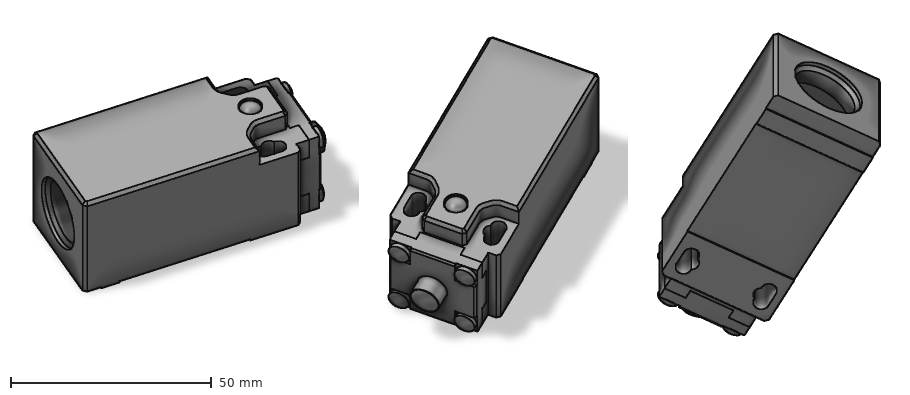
import cadquery as cq
import math


WIDTH = 30.3
TOP = 30.0
PAD_HEIGHT = 0.4
LUG_END = 60.0
LEDGE = 24.5
SHOULDER_END = 48.45
EDGE_CHAMFER = 0.9

TONGUE_WIDTH = 12.2
TONGUE_END = 60.8
BLEND_CHAMFER = 3.0
BLEND_RADIUS = 3.0

FRONT_PAD = (4.8, 9.8)
REAR_PAD_START = 45.9
SLOT_DIAMETER = 4.0
SLOT_LENGTH = 8.0
SLOT_X = 11.0
SLOT_Y = 53.6
SLOT_BULGE = 1.0

ENTRY_Z = 14.65
ENTRY_DIAMETER = 19.0
ENTRY_BORE_DIAMETER = 17.0
ENTRY_LIP_DEPTH = 1.0
ENTRY_DEPTH = 6.0

BUTTON_Y = 53.1
BUTTON_WELL_DIAMETER = 6.0
BUTTON_DIAMETER = 5.6
BUTTON_TOP = 30.6
BUTTON_WELL_FLOOR = 29.3
BUTTON_ROOT = 0.7

HEAD_SIZE = LEDGE - PAD_HEIGHT
HEAD_Z = PAD_HEIGHT + HEAD_SIZE / 2
JOINT_CORNER_Y = 63.55
JOINT_CROSS_Y = 61.1
CROSS_WIDTH = TONGUE_WIDTH

COVER_SIDE_END = 66.0
SCREW_SEAT_Y = 66.4
COVER_STEP_Y = 66.6
COVER_END = 67.15
COVER_EDGE_INSET = 0.15
COVER_END_INSET = 0.65

SCREW_DIAMETER = 5.6
SCREW_SPACING = 18.0
SCREW_RIM_Y = 67.65
SCREW_TIP_Y = 68.7

PLUNGER_DIAMETER = 8.0
PLUNGER_HOLE_DIAMETER = 8.1
PLUNGER_RIM_Y = 71.75
PLUNGER_TIP_Y = 73.3
PLUNGER_SHOULDER = 0.2


def block(x_size, y_range, z_range):
    """Box centred on X = 0 that spans the given Y and Z ranges."""
    y_size = y_range[1] - y_range[0]
    z_size = z_range[1] - z_range[0]
    return (
        cq.Workplane("XY")
        .box(x_size, y_size, z_size, centered=(True, False, False))
        .translate((0, y_range[0], z_range[0]))
    )


def head_block(x_size, z_size, y_start, y_end):
    """Box centred on the head axis between two Y positions."""
    return block(x_size, (y_start, y_end), (HEAD_Z - z_size / 2, HEAD_Z + z_size / 2))


def head_cross(y_start, y_end):
    """Cross-shaped block that reaches all four sides of the head."""
    upright = head_block(CROSS_WIDTH, HEAD_SIZE, y_start, y_end)
    crossbar = head_block(HEAD_SIZE, CROSS_WIDTH, y_start, y_end)
    return upright.union(crossbar)


def domed_pin(radius, y_start, y_rim, y_tip, x=0, z=0, shoulder=0.0):
    """Round pin along +Y with a spherical cap, set in from the rim by a flat shoulder."""
    cap_radius = radius - shoulder
    rise = y_tip - y_rim
    sphere_radius = (cap_radius**2 + rise**2) / (2 * rise)
    half_angle = math.asin(cap_radius / sphere_radius) / 2
    cap_middle = (
        sphere_radius * math.sin(half_angle),
        y_tip - sphere_radius * (1 - math.cos(half_angle)),
    )
    profile = cq.Workplane("XY").moveTo(0, y_start).lineTo(radius, y_start).lineTo(radius, y_rim)
    if shoulder > 0:
        profile = profile.lineTo(cap_radius, y_rim)
    pin = profile.threePointArc(cap_middle, (0, y_tip)).close().revolve(360, (0, 0, 0), (0, 1, 0))
    return pin.translate((x, 0, z))


def housing_upper():
    """Main block and tongue above the ledge level, with all outer top edges chamfered."""
    half_tongue = TONGUE_WIDTH / 2
    shoulder = block(WIDTH, (0, SHOULDER_END), (LEDGE, TOP))
    tongue = (
        cq.Workplane("XY", origin=(0, 0, LEDGE))
        .moveTo(half_tongue + BLEND_CHAMFER, SHOULDER_END)
        .lineTo(half_tongue, SHOULDER_END + BLEND_CHAMFER)
        .lineTo(half_tongue, TONGUE_END)
        .lineTo(0, TONGUE_END)
        .lineTo(0, SHOULDER_END)
        .close()
        .extrude(TOP - LEDGE)
    )
    upper = shoulder.union(tongue).union(tongue.mirror("YZ"))
    blend_box = cq.selectors.BoxSelector(
        (-WIDTH / 2 + EDGE_CHAMFER, SHOULDER_END - EDGE_CHAMFER, 0),
        (WIDTH / 2 - EDGE_CHAMFER, SHOULDER_END + BLEND_CHAMFER + EDGE_CHAMFER, TOP),
    )
    upper = upper.edges("|Z").edges(blend_box).fillet(BLEND_RADIUS)
    upper = upper.edges("|Z").edges("<Y or >Y").chamfer(EDGE_CHAMFER)
    return upper.faces(">Z").edges().chamfer(EDGE_CHAMFER)


def housing_lower():
    """Main block and lugs below the ledge level, with the two mounting pads."""
    lower = block(WIDTH, (0, LUG_END), (0, LEDGE)).edges("|Z").chamfer(EDGE_CHAMFER)
    for pad_gap in ((0, FRONT_PAD[0]), (FRONT_PAD[1], REAR_PAD_START)):
        lower = lower.cut(block(WIDTH, pad_gap, (0, PAD_HEIGHT)))
    return lower


def mounting_slot(side):
    """Slot along Y with a round bulge toward the middle of the housing."""
    slot = (
        cq.Workplane("XY")
        .center(side * SLOT_X, SLOT_Y)
        .slot2D(SLOT_LENGTH, SLOT_DIAMETER, 90)
        .extrude(LEDGE)
    )
    bulge = (
        cq.Workplane("XY")
        .center(side * (SLOT_X - SLOT_BULGE), SLOT_Y)
        .circle(SLOT_DIAMETER / 2)
        .extrude(LEDGE)
    )
    return slot.union(bulge)


def cable_entry():
    """Blind bore with a short wider lip and a 45 degree step between them."""
    lip_radius = ENTRY_DIAMETER / 2
    bore_radius = ENTRY_BORE_DIAMETER / 2
    return (
        cq.Workplane("XY")
        .lineTo(lip_radius, 0)
        .lineTo(lip_radius, ENTRY_LIP_DEPTH)
        .lineTo(bore_radius, ENTRY_LIP_DEPTH + lip_radius - bore_radius)
        .lineTo(bore_radius, ENTRY_DEPTH)
        .lineTo(0, ENTRY_DEPTH)
        .close()
        .revolve(360, (0, 0, 0), (0, 1, 0))
        .translate((0, 0, ENTRY_Z))
    )


def button_well():
    """Shallow round well that surrounds the button."""
    return (
        cq.Workplane("XY", origin=(0, BUTTON_Y, BUTTON_WELL_FLOOR))
        .circle(BUTTON_WELL_DIAMETER / 2)
        .extrude(BUTTON_TOP - BUTTON_WELL_FLOOR)
    )


def button():
    """Spherical cap on the floor of the well, rising above the top face."""
    start = BUTTON_WELL_FLOOR - BUTTON_ROOT
    pin = domed_pin(BUTTON_DIAMETER / 2, start, BUTTON_WELL_FLOOR, BUTTON_TOP)
    return pin.rotate((0, 0, 0), (1, 0, 0), 90).translate((0, BUTTON_Y, 0))


def cover_bevel(start_inset, end_inset, y_start, y_end):
    """Square slice of the cover whose four sides slope inward toward +Y."""
    rise = y_end - y_start
    start_size = HEAD_SIZE - 2 * start_inset
    slope = math.degrees(math.atan((end_inset - start_inset) / rise))
    return (
        cq.Workplane("XZ", origin=(0, y_start, HEAD_Z))
        .rect(start_size, start_size)
        .extrude(-rise, taper=slope)
    )


def screw_seats():
    """The four corner areas outside the cross, down to the screw seats."""
    whole_end = head_block(HEAD_SIZE, HEAD_SIZE, SCREW_SEAT_Y, COVER_END)
    return whole_end.cut(head_cross(SCREW_SEAT_Y, COVER_END))


def screw_head(x, z):
    return domed_pin(SCREW_DIAMETER / 2, SCREW_SEAT_Y, SCREW_RIM_Y, SCREW_TIP_Y, x, z)


def plunger_hole():
    return (
        cq.Workplane("XZ", origin=(0, JOINT_CROSS_Y, HEAD_Z))
        .circle(PLUNGER_HOLE_DIAMETER / 2)
        .extrude(JOINT_CROSS_Y - COVER_END)
    )


def make_housing():
    housing = housing_lower().union(housing_upper())
    neck = head_block(HEAD_SIZE, HEAD_SIZE, SHOULDER_END, JOINT_CORNER_Y)
    housing = housing.union(neck.cut(head_cross(JOINT_CROSS_Y, JOINT_CORNER_Y)))
    for side in (-1, 1):
        housing = housing.cut(mounting_slot(side))
    housing = housing.cut(cable_entry())
    return housing.cut(button_well()).union(button())


def make_cover():
    """Cover plate with bevelled end, cross-shaped tongue, seated screw heads and plunger hole."""
    cover = head_block(HEAD_SIZE, HEAD_SIZE, JOINT_CORNER_Y, COVER_SIDE_END)
    cover = cover.union(cover_bevel(0, COVER_EDGE_INSET, COVER_SIDE_END, COVER_STEP_Y))
    cover = cover.union(cover_bevel(COVER_EDGE_INSET, COVER_END_INSET, COVER_STEP_Y, COVER_END))
    cover = cover.cut(screw_seats())
    cover = cover.union(head_cross(JOINT_CROSS_Y, JOINT_CORNER_Y))
    for x_side in (-1, 1):
        for z_side in (-1, 1):
            screw_x = x_side * SCREW_SPACING / 2
            screw_z = HEAD_Z + z_side * SCREW_SPACING / 2
            cover = cover.union(screw_head(screw_x, screw_z))
    return cover.cut(plunger_hole())


def make_plunger():
    return domed_pin(
        PLUNGER_DIAMETER / 2,
        JOINT_CROSS_Y,
        PLUNGER_RIM_Y,
        PLUNGER_TIP_Y,
        z=HEAD_Z,
        shoulder=PLUNGER_SHOULDER,
    )


housing = make_housing()
cover = make_cover()
plunger = make_plunger()

result = cq.Compound.makeCompound([housing.val(), cover.val(), plunger.val()])